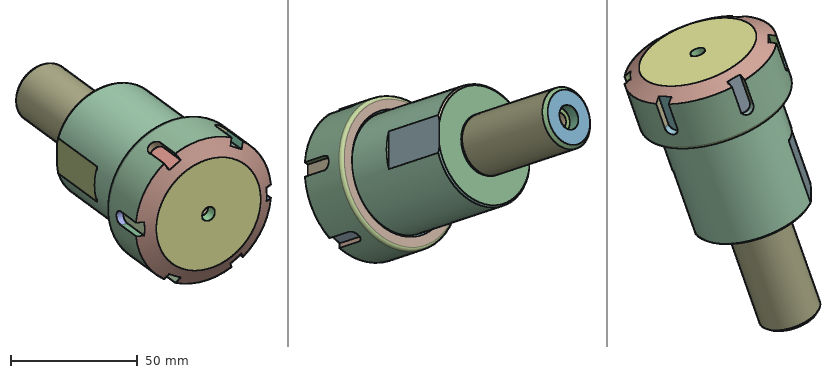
import cadquery as cq

total_length = 125.0

shank_diameter = 25.4
shank_chamfer = 1.5
relief_diameter = 24.8
relief_width = 0.8
body_diameter = 50.0
body_start = 50.0
body_chamfer = 0.8
flat_end = 80.0
across_flats = 47.5
through_hole_diameter = 6.0
counterbore_diameter = 10.0
counterbore_depth = 5.0

nut_diameter = 63.0
nut_start = 99.5
nut_edge_radius = 1.5
mouth_diameter = 51.8
mouth_chamfer = (mouth_diameter - body_diameter) / 2
cone_length = 3.8
nose_diameter = 48.5
nose_wall = 5.0
body_end = total_length - nose_wall

slot_count = 6
slot_width = 6.0
slot_start = 106.9
slot_floor_radius = 28.4


def cylinder(diameter, start, end):
    """Solid cylinder on the X axis between two X positions."""
    return cq.Workplane("YZ", origin=(start, 0, 0)).circle(diameter / 2).extrude(end - start)


def make_holder():
    relief_start = body_start - relief_width
    shank = cylinder(shank_diameter, 0, relief_start).faces("<X").chamfer(shank_chamfer)
    relief = cylinder(relief_diameter, relief_start, body_start)
    body = cylinder(body_diameter, body_start, body_end).faces("<X").chamfer(body_chamfer)

    flat_length = flat_end - body_start
    flat_zone = cq.Workplane("XY").box(
        flat_length, across_flats, body_diameter, centered=(False, True, True)
    ).translate((body_start, 0, 0))
    body = body.intersect(flat_zone.union(cylinder(body_diameter, flat_end, body_end)))

    holder = shank.union(relief).union(body)
    holder = holder.cut(cylinder(through_hole_diameter, 0, body_end))
    return holder.cut(cylinder(counterbore_diameter, 0, counterbore_depth))


def make_slot_cutter():
    """Round-ended slot in the -Y side, open toward the nose."""
    slot_length = total_length - slot_start
    end_center = slot_start + slot_width / 2
    slot_depth = nut_diameter / 2 - slot_floor_radius
    straight = cq.Workplane("XY").box(
        slot_length - slot_width / 2, slot_depth, slot_width, centered=(False, False, True)
    ).translate((end_center, -nut_diameter / 2, 0))
    round_end = (
        cq.Workplane("XZ", origin=(end_center, -slot_floor_radius, 0))
        .circle(slot_width / 2)
        .extrude(slot_depth)
    )
    return straight.union(round_end)


def make_nut():
    outer_radius = nut_diameter / 2
    nut = (
        cq.Workplane("XY")
        .moveTo(nut_start, 0)
        .lineTo(nut_start, outer_radius)
        .lineTo(total_length - cone_length, outer_radius)
        .lineTo(total_length, nose_diameter / 2)
        .lineTo(total_length, 0)
        .close()
        .revolve(360, (0, 0, 0), (1, 0, 0))
        .faces("<X")
        .edges()
        .fillet(nut_edge_radius)
    )

    nut = nut.cut(cylinder(body_diameter, nut_start, body_end))
    nut = nut.cut(cylinder(through_hole_diameter, body_end, total_length))
    nut = nut.faces("<X").edges("%CIRCLE").edges(cq.selectors.RadiusNthSelector(0)).chamfer(mouth_chamfer)

    slot_cutter = make_slot_cutter()
    for index in range(slot_count):
        angle = index * 360 / slot_count
        nut = nut.cut(slot_cutter.rotate((0, 0, 0), (1, 0, 0), angle))
    return nut


holder = make_holder()
nut = make_nut()
result = cq.Compound.makeCompound([holder.val(), nut.val()])